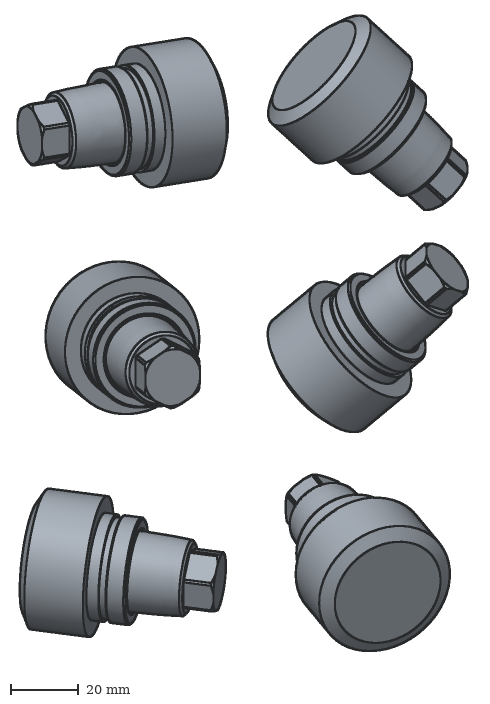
import cadquery as cq
import math

total_length = 56.65

head_radius = 20.99
head_front = 36.65
head_chamfer_length = 2.3
head_chamfer_depth = 4.0

collar_radius = 16.05
collar_front = 25.05
collar_chamfer = 0.5
groove_radius = 15.1
groove_back = 33.1
groove_front = 31.0
groove_chamfer = 0.35

recess_radius = 12.9
recess_floor_radius = 12.35
recess_depth = 0.5

plug_base_radius = 12.05
plug_base_front = 24.25
plug_bulge_radius = 11.95
plug_ring_radius = 11.75
plug_ring_position = 14.5
plug_tip_radius = 11.4
plug_tip_chamfer_length = 0.8
plug_tip_chamfer_depth = 0.9

hex_length = 8.95
hex_across_flats = 17.0
hex_corner_radius = 9.6
hex_tip_radius = 8.65
hex_chamfer_length = 0.75


def make_turned_body():
    """Revolve the head, collar and plug around the Y axis."""
    plug_bulge_position = (plug_base_front + plug_ring_position) / 2
    recess_floor = collar_front + recess_depth
    profile = (
        cq.Workplane("XY")
        .moveTo(0, total_length)
        .lineTo(head_radius - head_chamfer_depth, total_length)
        .lineTo(head_radius, total_length - head_chamfer_length)
        .lineTo(head_radius, head_front)
        .lineTo(collar_radius, head_front)
        .lineTo(collar_radius, groove_back)
        .lineTo(groove_radius, groove_back)
        .lineTo(groove_radius, groove_front)
        .lineTo(collar_radius - groove_chamfer, groove_front)
        .lineTo(collar_radius, groove_front - groove_chamfer)
        .lineTo(collar_radius, collar_front + collar_chamfer)
        .lineTo(collar_radius - collar_chamfer, collar_front)
        .lineTo(recess_radius, collar_front)
        .lineTo(recess_floor_radius, recess_floor)
        .lineTo(plug_base_radius, recess_floor)
        .lineTo(plug_base_radius, plug_base_front)
        .threePointArc(
            (plug_bulge_radius, plug_bulge_position),
            (plug_ring_radius, plug_ring_position),
        )
        .lineTo(plug_tip_radius, hex_length + plug_tip_chamfer_length)
        .lineTo(plug_tip_radius - plug_tip_chamfer_depth, hex_length)
        .lineTo(0, hex_length)
        .close()
    )
    return profile.revolve(360, (0, 0, 0), (0, 1, 0))


def make_hex_drive():
    """Hexagonal prism with corners along Z, trimmed by a turned, chamfered blank."""
    hex_across_corners = hex_across_flats / math.cos(math.pi / 6)
    prism = (
        cq.Workplane("XZ")
        .transformed(rotate=(0, 0, 90))
        .polygon(6, hex_across_corners)
        .extrude(-hex_length)
    )
    blank = (
        cq.Workplane("XY")
        .lineTo(hex_tip_radius, 0)
        .lineTo(hex_corner_radius, hex_chamfer_length)
        .lineTo(hex_corner_radius, hex_length)
        .lineTo(0, hex_length)
        .close()
        .revolve(360, (0, 0, 0), (0, 1, 0))
    )
    return prism.intersect(blank)


result = make_turned_body().union(make_hex_drive())